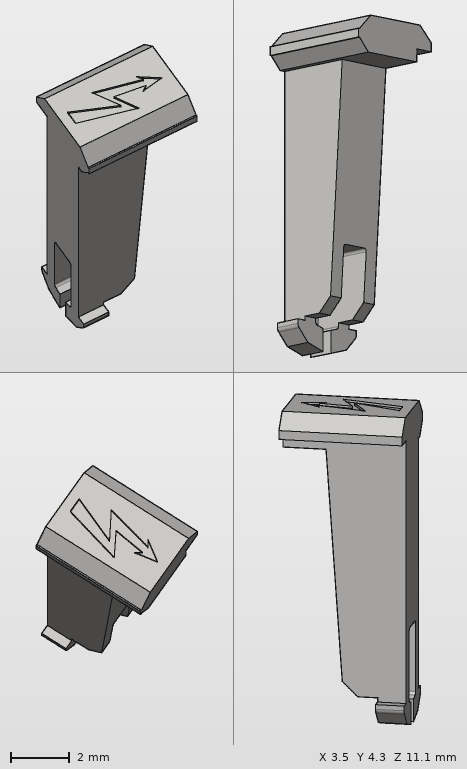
import cadquery as cq

TOTAL_HEIGHT = 11.1

HEAD_WIDTH = 3.5
HEAD_DEPTH = 4.3
HEAD_BEVEL = 0.54
HEAD_LEFT_THICKNESS = 0.85
HEAD_RIGHT_THICKNESS = 1.31
HEAD_RIGHT_LEDGE = 0.05
HEAD_RIGHT_SHELF = 0.22

STEM_WIDTH = 2.1
STEM_TOP_DEPTH = 2.8
STEM_LOW_DEPTH = 2.23
STEM_BOTTOM_Z = 1.11
STEM_BEVEL_DEPTH = 0.54
STEM_BEVEL_HEIGHT = 0.52

FOOT_DEPTH = 1.0
BARB_WIDTH = 2.8
BARB_TOP_Z = 0.97
BARB_CORNER_Z = 0.72
BARB_RADIUS = 0.2
KNEE_HALF_WIDTH = 0.92
KNEE_Z = 0.21

GAP_WIDTH = 0.39
SLOT_WIDTH = 1.08
SLOT_TOP_Z = 3.5
SLOT_LIP_Z = 0.8
SLOT_SHOULDER_Z = 0.9
SLOT_RADIUS = 0.11

ARROW_RECESS = 0.08
ARROW_THICKNESS = 0.2
ARROW_OUTLINE = [
    (0.09, 3.88),
    (-0.4, 3.16),
    (-0.18, 3.32),
    (-0.6, 1.52),
    (0.37, 2.1),
    (-0.32, 0.39),
    (0.22, 0.39),
    (0.78, 2.56),
    (-0.07, 2.08),
    (0.09, 3.26),
    (0.24, 3.04),
]


def extrude_back(points, depth):
    """Extrude an XZ outline from the front face towards +Y."""
    return cq.Workplane("XZ").polyline(points).close().extrude(-depth)


def make_head():
    half_width = HEAD_WIDTH / 2
    stem_half = STEM_WIDTH / 2
    bevel_z = TOTAL_HEIGHT - HEAD_BEVEL
    left_z = TOTAL_HEIGHT - HEAD_LEFT_THICKNESS
    right_z = TOTAL_HEIGHT - HEAD_RIGHT_THICKNESS
    ledge_x = half_width - HEAD_RIGHT_LEDGE
    outline = [
        (-half_width, left_z),
        (-half_width, bevel_z),
        (-half_width + HEAD_BEVEL, TOTAL_HEIGHT),
        (ledge_x - HEAD_BEVEL, TOTAL_HEIGHT),
        (ledge_x, bevel_z),
        (half_width, bevel_z),
        (half_width, left_z),
        (ledge_x, left_z),
        (stem_half + HEAD_RIGHT_SHELF, right_z),
        (-stem_half, right_z),
        (-stem_half, left_z),
    ]
    return extrude_back(outline, HEAD_DEPTH)


def make_stem():
    """Tapered blade, extruded across X from its side outline."""
    top_z = TOTAL_HEIGHT - HEAD_RIGHT_THICKNESS
    outline = [
        (0, STEM_BOTTOM_Z),
        (0, top_z),
        (STEM_TOP_DEPTH, top_z),
        (STEM_LOW_DEPTH, STEM_BOTTOM_Z + STEM_BEVEL_HEIGHT),
        (STEM_LOW_DEPTH - STEM_BEVEL_DEPTH, STEM_BOTTOM_Z),
    ]
    return cq.Workplane("YZ").polyline(outline).close().extrude(STEM_WIDTH / 2, both=True)


def make_foot():
    """Barbed foot with rounded outer corners, before the slot splits it."""
    stem_half = STEM_WIDTH / 2
    barb_half = BARB_WIDTH / 2
    gap_half = GAP_WIDTH / 2
    right_side = [
        (stem_half, STEM_BOTTOM_Z),
        (stem_half, BARB_TOP_Z),
        (barb_half, BARB_TOP_Z),
        (barb_half, BARB_CORNER_Z),
        (KNEE_HALF_WIDTH, KNEE_Z),
        (gap_half, 0),
    ]
    left_side = [(-x, z) for x, z in reversed(right_side)]
    foot = extrude_back(right_side + left_side, FOOT_DEPTH)
    for x in (-barb_half, barb_half):
        corner = cq.selectors.NearestToPointSelector((x, FOOT_DEPTH / 2, BARB_CORNER_Z))
        foot = foot.edges(corner).fillet(BARB_RADIUS)
    return foot


def make_slot():
    """Cutter for the rounded slot and the gap that opens it downwards."""
    slot_half = SLOT_WIDTH / 2
    gap_half = GAP_WIDTH / 2
    window = extrude_back([
        (-slot_half, SLOT_TOP_Z),
        (slot_half, SLOT_TOP_Z),
        (slot_half, SLOT_SHOULDER_Z),
        (gap_half, SLOT_LIP_Z),
        (-gap_half, SLOT_LIP_Z),
        (-slot_half, SLOT_SHOULDER_Z),
    ], STEM_TOP_DEPTH)
    side_walls = "<X or >X"
    window = window.faces(side_walls).edges("|Y").fillet(SLOT_RADIUS)
    gap = extrude_back([
        (-gap_half, 0),
        (gap_half, 0),
        (gap_half, SLOT_SHOULDER_Z),
        (-gap_half, SLOT_SHOULDER_Z),
    ], STEM_TOP_DEPTH)
    return window.union(gap)


def make_arrow_prism(top_z):
    """Arrow-shaped prism from the pocket floor up to top_z."""
    floor_z = TOTAL_HEIGHT - ARROW_RECESS - ARROW_THICKNESS
    return (
        cq.Workplane("XY").workplane(offset=floor_z)
        .polyline(ARROW_OUTLINE).close().extrude(top_z - floor_z)
    )


def make_clip():
    clip = make_head().union(make_stem()).union(make_foot())
    return clip.cut(make_slot()).cut(make_arrow_prism(TOTAL_HEIGHT))


def make_arrow():
    return make_arrow_prism(TOTAL_HEIGHT - ARROW_RECESS)


clip = make_clip()
arrow = make_arrow()
result = cq.Compound.makeCompound([clip.val(), arrow.val()])